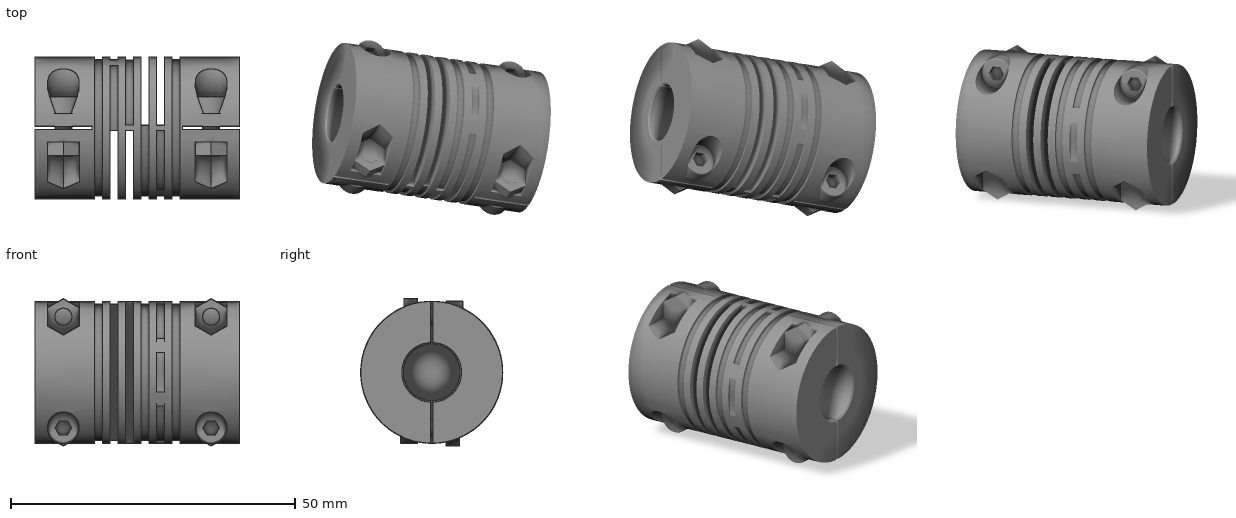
import cadquery as cq
import math

BODY_LENGTH = 36.0
BODY_RADIUS = 12.5
BORE_DIAMETER = 10.0
BORE_CHAMFER = 0.25
CLAMP_DEPTH = 10.0
SLIT_WIDTH = 0.5

GROOVE_COUNT = 6
FLEX_LENGTH = 15.0
GROOVE_WIDTH = FLEX_LENGTH / (2 * GROOVE_COUNT - 1)
GROOVE_PITCH = 2 * GROOVE_WIDTH
GROOVE_RADIUS = 12.0
WEB_HALF_WIDTH = 0.5
SIDE_WEB_INNER = 11.0
SIDE_WEB_OUTER = GROOVE_RADIUS

SCREW_X = 13.0
SCREW_DIAMETER = 3.0
SCREW_TIP = 5.0
SEAT = 2.5
HEAD_DIAMETER = 5.5
HEAD_HEIGHT = 3.0
HEAD_FILLET = 0.2
FLATS_PER_CORNERS = math.cos(math.pi / 6)
SOCKET_FLATS = 2.5
SOCKET_DEPTH = 1.5
NUT_FLATS = 5.5
NUT_THICKNESS = 2.4
OUTER_HEIGHT = 25.91
NUT_CORNERS = NUT_FLATS / FLATS_PER_CORNERS
POCKET_CLEARANCE = 0.1
SCREW_Z = (OUTER_HEIGHT - NUT_CORNERS) / 2


def box_between(x_range, y_range, z_range):
    """Box spanning the given (low, high) ranges."""
    sizes = [high - low for low, high in (x_range, y_range, z_range)]
    corner = (x_range[0], y_range[0], z_range[0])
    return cq.Workplane("XY").box(*sizes, centered=False).translate(corner)


def plane_along_y(y):
    """Work plane facing +Y, with local X along -X and local Y along +Z."""
    return cq.Workplane(cq.Plane(origin=(0, y, 0), xDir=(-1, 0, 0), normal=(0, 1, 0)))


def turned_to_other_end(shape):
    """The same shape turned half a turn about Z, for the other end."""
    return shape.rotate((0, 0, 0), (0, 0, 1), 180)


def disc(radius, x_low, length):
    return cq.Workplane("YZ").workplane(offset=x_low).circle(radius).extrude(length)


def clamp_cut():
    """Chamfered blind bore and clamping slit of the -X end."""
    end_x = -BODY_LENGTH / 2
    bore = disc(BORE_DIAMETER / 2, end_x, CLAMP_DEPTH)
    countersink = cq.Workplane("YZ", origin=(end_x, 0, 0)).circle(BORE_DIAMETER / 2 + BORE_CHAMFER)
    countersink = countersink.workplane(offset=BORE_CHAMFER).circle(BORE_DIAMETER / 2).loft()
    slit = box_between(
        (end_x, end_x + CLAMP_DEPTH),
        (-SLIT_WIDTH / 2, SLIT_WIDTH / 2),
        (-BODY_RADIUS, BODY_RADIUS),
    )
    return bore.union(countersink).union(slit)


def groove(index, open_side=0, centre_web=False, side_web=False):
    """Cutter for one groove.

    open_side is the sign of Y on which the whole half disc is removed (0 for neither).
    centre_web keeps the full radius along the XZ plane.
    side_web keeps webs on the closed side, next to a flat at SIDE_WEB_OUTER.
    """
    x_low = -FLEX_LENGTH / 2 + index * GROOVE_PITCH
    x_range = (x_low, x_low + GROOVE_WIDTH)
    full = (-BODY_RADIUS, BODY_RADIUS)

    def slab(y_start, y_end):
        return box_between(x_range, sorted((y_start, y_end)), full)

    cutter = disc(BODY_RADIUS, x_low, GROOVE_WIDTH).cut(disc(GROOVE_RADIUS, x_low, GROOVE_WIDTH))
    if centre_web:
        cutter = cutter.cut(slab(-WEB_HALF_WIDTH, WEB_HALF_WIDTH))
    if side_web:
        cutter = cutter.cut(slab(-open_side * SIDE_WEB_INNER, -open_side * SIDE_WEB_OUTER))
    if open_side:
        cutter = cutter.union(slab(open_side * WEB_HALF_WIDTH, open_side * BODY_RADIUS))
    return cutter


def screw_pockets(x):
    """Round pocket for the head on +Y and open-topped hexagonal pocket for the nut on -Y."""
    head_pocket = plane_along_y(SEAT).center(-x, SCREW_Z).circle((HEAD_DIAMETER + POCKET_CLEARANCE) / 2)
    head_pocket = head_pocket.extrude(BODY_RADIUS)
    half_flats = (NUT_FLATS + POCKET_CLEARANCE) / 2
    corner_radius = half_flats / FLATS_PER_CORNERS
    shoulder_z = SCREW_Z - corner_radius / 2
    nut_pocket = (
        plane_along_y(-SEAT)
        .moveTo(-x, SCREW_Z - corner_radius)
        .lineTo(-x + half_flats, shoulder_z)
        .lineTo(-x + half_flats, BODY_RADIUS)
        .lineTo(-x - half_flats, BODY_RADIUS)
        .lineTo(-x - half_flats, shoulder_z)
        .close()
        .extrude(-BODY_RADIUS)
    )
    return head_pocket.union(nut_pocket)


def screw_and_nut(x):
    """Socket head screw with its head on +Y and its nut on -Y."""
    shank = plane_along_y(-SCREW_TIP).center(-x, SCREW_Z).circle(SCREW_DIAMETER / 2)
    shank = shank.extrude(SCREW_TIP + SEAT)
    head = plane_along_y(SEAT).center(-x, SCREW_Z).circle(HEAD_DIAMETER / 2).extrude(HEAD_HEIGHT)
    head = head.faces(">Y").edges().fillet(HEAD_FILLET)
    socket = plane_along_y(SEAT + HEAD_HEIGHT).center(-x, SCREW_Z)
    socket = socket.polygon(6, SOCKET_FLATS / FLATS_PER_CORNERS).extrude(-SOCKET_DEPTH)
    nut = cq.Workplane("XZ").polygon(6, NUT_CORNERS).extrude(NUT_THICKNESS)
    nut = nut.rotate((0, 0, 0), (0, 1, 0), 30).translate((x, -SEAT, SCREW_Z))
    return shank.union(head.cut(socket)).union(nut)


def turned_below(shape):
    """The same shape turned half a turn about X, for the screw below the bore."""
    return shape.rotate((0, 0, 0), (1, 0, 0), 180)


body = disc(BODY_RADIUS, -BODY_LENGTH / 2, BODY_LENGTH)
body = body.cut(clamp_cut()).cut(turned_to_other_end(clamp_cut()))

grooves = [
    groove(0),
    groove(1, open_side=-1, side_web=True),
    groove(2, open_side=-1, centre_web=True),
    groove(3, open_side=1),
    groove(4, open_side=1, centre_web=True, side_web=True),
    groove(GROOVE_COUNT - 1),
]
for cutter in grooves:
    body = body.cut(cutter)

for screw_x in (-SCREW_X, SCREW_X):
    pockets = screw_pockets(screw_x)
    fastener = screw_and_nut(screw_x)
    body = body.cut(pockets).cut(turned_below(pockets))
    body = body.union(fastener).union(turned_below(fastener))

result = body